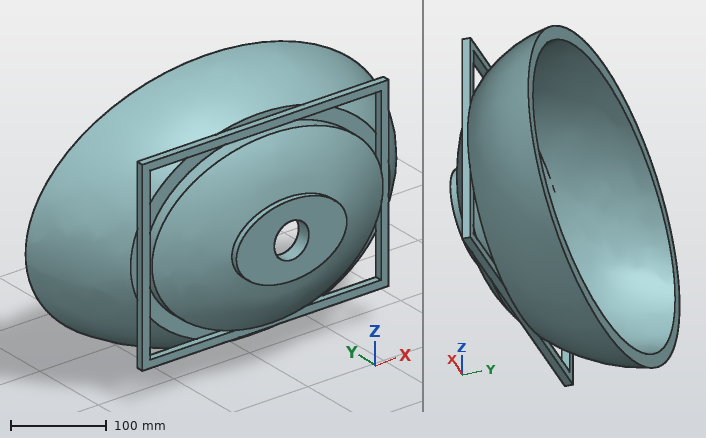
import cadquery as cq

rim_half_width = 240.0
rim_half_height = 160.0
total_depth = 145.0
wall = 15.0
floor_depth = 127.0

bowl_sections = [
    (0, rim_half_width, rim_half_height),
    (48.5, 213.0, 151.0),
    (91.0, 171.2, 127.5),
    (105.5, 149.0, 114.5),
    (128.0, 100.3, 81.0),
    (138.5, 66.5, 40.5),
]
bowl_end_depth = bowl_sections[-1][0]

ledge_depth = 91.0
frame_width = 325.0
frame_height = 241.5
frame_bar = 10.0
frame_thickness = 9.0
opening_width = frame_width - 2 * frame_bar
opening_height = frame_height - 2 * frame_bar

boss_half_width = 73.0
boss_half_height = 47.5
boss_start_depth = 132.0
drain_diameter = 45.5


def plane_at(depth):
    """Workplane facing -Y at a depth below the rim; its local x is Z and its local y is X."""
    return cq.Workplane(cq.Plane(origin=(0, -depth, 0), xDir=(0, 0, 1), normal=(0, -1, 0)))


def elliptical_prism(half_width, half_height, start_depth, end_depth):
    return plane_at(start_depth).ellipse(half_height, half_width).extrude(end_depth - start_depth)


def elliptical_loft(width_scale, height_scale, depth_scale):
    """Smooth solid through the bowl sections, scaled separately along each axis."""
    wires = []
    for depth, half_width, half_height in bowl_sections:
        section = plane_at(depth * depth_scale).ellipse(half_height * height_scale, half_width * width_scale)
        wires.append(section.val())
    return cq.Workplane(cq.Solid.makeLoft(wires))


def make_basin():
    outer = elliptical_loft(1, 1, 1)
    cavity = elliptical_loft(
        1 - wall / rim_half_width,
        1 - wall / rim_half_height,
        floor_depth / bowl_end_depth,
    )

    ledge_cut = plane_at(ledge_depth).rect(2 * rim_half_height, 2 * rim_half_width).extrude(
        total_depth - ledge_depth
    )
    ledge_cut = ledge_cut.cut(
        elliptical_prism(opening_width / 2, opening_height / 2, ledge_depth, total_depth)
    )

    boss = elliptical_prism(boss_half_width, boss_half_height, boss_start_depth, total_depth)
    drain = plane_at(0).circle(drain_diameter / 2).extrude(total_depth)
    return outer.cut(ledge_cut).union(boss).cut(cavity).cut(drain)


def make_frame():
    return (
        plane_at(ledge_depth)
        .rect(frame_height, frame_width)
        .rect(opening_height, opening_width)
        .extrude(frame_thickness)
    )


basin = make_basin()
frame = make_frame()
result = cq.Compound.makeCompound([basin.val(), frame.val()])